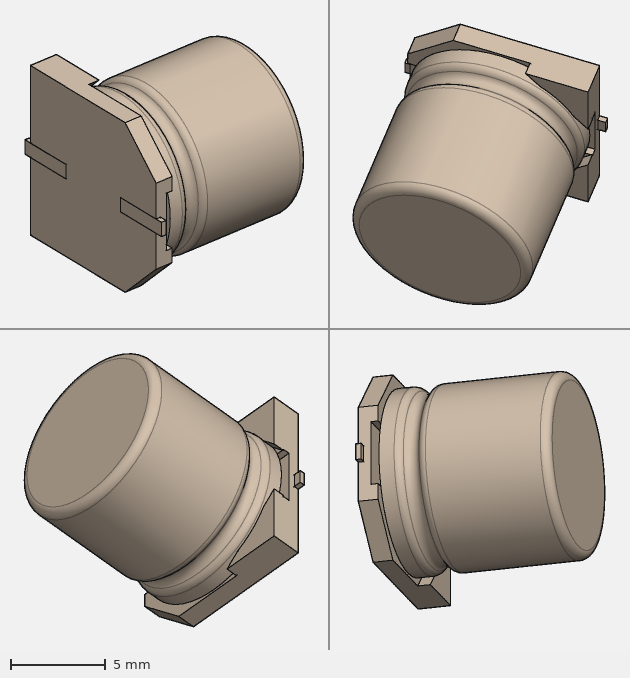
import cadquery as cq
import math


base_width = 10.35
base_corner_cut = 2.55
seat_height = 1.1
channel_floor = 0.7
channel_width = 3.5

post_height = 1.8
post_gap = 3.34

can_radius = 5.02
can_top = 10.52
top_fillet = 0.5

groove_height = 2.8
groove_depth = 0.5
groove_arc_radius = 0.5

lead_width = 0.88
lead_thickness = 0.3
lead_tip = 5.62
lead_root = 2.25
lead_length = lead_tip - lead_root


def block(size_x, y_bottom, y_top, size_z, x=0.0):
    """Box centred on x and Z = 0 that spans y_bottom to y_top."""
    height = y_top - y_bottom
    return cq.Workplane("XY").box(size_x, height, size_z).translate((x, y_bottom + height / 2, 0))


def make_can():
    """Solid of revolution about Y, with a rounded top and a groove near the foot."""
    neck_radius = can_radius - groove_depth
    swing = math.acos(1 - groove_depth / (2 * groove_arc_radius))
    rise = groove_arc_radius * math.sin(swing)
    mid_radius = can_radius - groove_depth / 2
    half_bulge = groove_arc_radius * (1 - math.cos(swing / 2))
    half_rise = groove_arc_radius * math.sin(swing / 2)
    shoulder_radius = can_radius - half_bulge
    groove_start = groove_height - 2 * rise
    groove_end = groove_height + 2 * rise
    round_offset = top_fillet * (1 - math.sqrt(0.5))

    profile = (
        cq.Workplane("XY")
        .moveTo(0, seat_height)
        .lineTo(can_radius, seat_height)
        .lineTo(can_radius, groove_start)
        .threePointArc((shoulder_radius, groove_start + half_rise), (mid_radius, groove_height - rise))
        .threePointArc((neck_radius, groove_height), (mid_radius, groove_height + rise))
        .threePointArc((shoulder_radius, groove_end - half_rise), (can_radius, groove_end))
        .lineTo(can_radius, can_top - top_fillet)
        .threePointArc(
            (can_radius - round_offset, can_top - round_offset),
            (can_radius - top_fillet, can_top),
        )
        .lineTo(0, can_top)
        .close()
    )
    return profile.revolve(360, (0, 0, 0), (0, 1, 0))


def make_base():
    """Square plate with two cut corners, two triangular corner posts and a channel through along X."""
    plate = block(base_width, 0, seat_height, base_width)
    plate = plate.edges("|Y and >X").chamfer(base_corner_cut)

    half_width = base_width / 2
    half_gap = post_gap / 2
    for side in (-1, 1):
        corner = (-half_width, side * half_width)
        end_on_side = (-half_width, side * half_gap)
        end_on_flank = (-half_gap, side * half_width)
        post = cq.Workplane("XZ").polyline([corner, end_on_side, end_on_flank]).close().extrude(-post_height)
        plate = plate.union(post)

    return plate.cut(block(base_width, channel_floor, seat_height, channel_width))


def make_lead(side):
    """Flat strip let into the underside of the base, reaching out past its edge."""
    centre = side * (lead_tip + lead_root) / 2
    return block(lead_length, 0, lead_thickness, lead_width, centre)


leads = [make_lead(side) for side in (-1, 1)]

housing = make_base().union(make_can())
for lead in leads:
    housing = housing.cut(lead)

result = cq.Compound.makeCompound([housing.val(), *[lead.val() for lead in leads]])